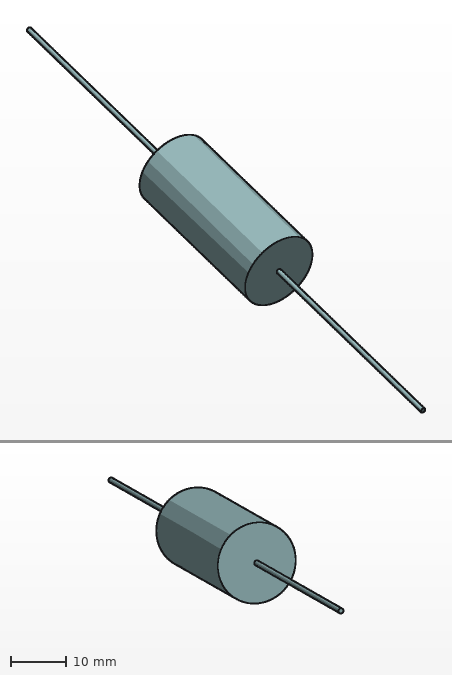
import cadquery as cq

WIRE_LENGTH = 123.0
WIRE_DIAMETER = 1.0
CASE_LENGTH = 33.0
CASE_DIAMETER = 15.0


def centred_cylinder(diameter, length):
    """Cylinder along X, centred on the origin."""
    end_plane = cq.Workplane("YZ").workplane(offset=-length / 2)
    return end_plane.circle(diameter / 2).extrude(length)


def make_wire():
    """Lead wire that runs straight through the case and out of both ends."""
    return centred_cylinder(WIRE_DIAMETER, WIRE_LENGTH)


def make_case():
    """Capacitor case with an axial bore that fits the wire."""
    bore = centred_cylinder(WIRE_DIAMETER, CASE_LENGTH)
    return centred_cylinder(CASE_DIAMETER, CASE_LENGTH).cut(bore)


case = make_case()
wire = make_wire()

result = cq.Compound.makeCompound([case.val(), wire.val()])